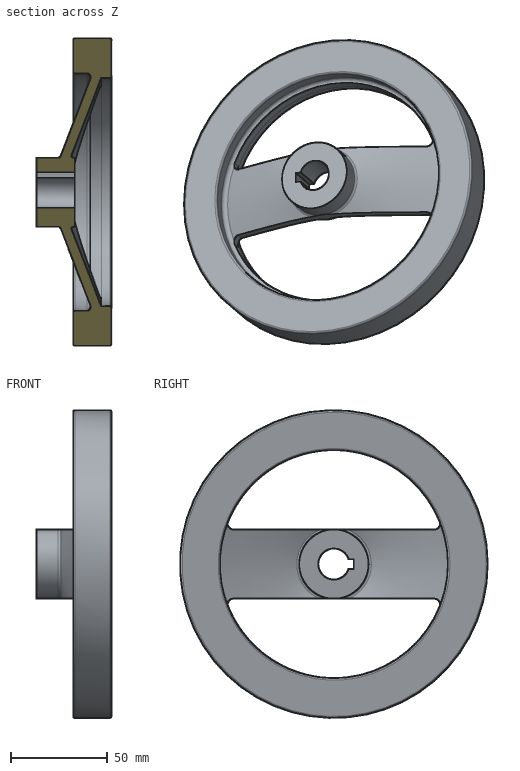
import cadquery as cq
import math


wheel_radius = 80.0
rim_front = 19.0
rim_back = 39.0
recess_radius = 123.28 / 2
rim_bore_radius = 118.4 / 2
rim_edge_fillet = 1.0
recess_root_fillet = 2.0

hub_radius = 18.0
hub_back = 20.0
front_hub_fillet = 1.5
back_hub_fillet = 1.0
bore_radius = 8.0

key_width = 5.0
key_reach = 10.3

web_start = 12.2
web_slope = math.tan(math.radians(21.0))
web_thickness = 5.6

spoke_half_width = hub_radius
window_corner_radius = 3.0


def web_front(radius):
    """X of the front face of the conical web at a given radius."""
    return web_start + web_slope * (radius - hub_radius)


def web_back(radius):
    """X of the back face of the conical web at a given radius."""
    return web_front(radius) + web_thickness


def round_circle(body, x, radius, fillet):
    """Fillet the full circular edge centred on the axis at the given X and radius."""
    tolerance = 0.01
    corner = cq.selectors.BoxSelector(
        (x - tolerance, -radius - 1, -radius - 1),
        (x + tolerance, radius + 1, radius + 1),
        boundingbox=True,
    )
    circle = body.edges(corner).edges("%CIRCLE").filter(
        lambda edge: abs(edge.radius() - radius) < tolerance
    )
    return body.newObject(circle.vals()).fillet(fillet)


def make_disc():
    """Hub, web and rim as one turned body, with its edges rounded."""
    disc = (
        cq.Workplane("XY")
        .moveTo(0, 0)
        .lineTo(0, hub_radius)
        .lineTo(web_front(hub_radius), hub_radius)
        .lineTo(web_front(recess_radius), recess_radius)
        .lineTo(rim_front, recess_radius)
        .lineTo(rim_front, wheel_radius)
        .lineTo(rim_back, wheel_radius)
        .lineTo(rim_back, rim_bore_radius)
        .lineTo(web_back(rim_bore_radius), rim_bore_radius)
        .lineTo(web_back(hub_radius), hub_radius)
        .lineTo(hub_back, hub_radius)
        .lineTo(hub_back, 0)
        .close()
        .revolve(360, (0, 0, 0), (1, 0, 0))
    )
    for x in (rim_front, rim_back):
        disc = round_circle(disc, x, wheel_radius, rim_edge_fillet)
    disc = round_circle(disc, rim_front, recess_radius, rim_edge_fillet)
    disc = round_circle(disc, web_front(recess_radius), recess_radius, recess_root_fillet)
    disc = round_circle(disc, web_front(hub_radius), hub_radius, front_hub_fillet)
    return round_circle(disc, web_back(hub_radius), hub_radius, back_hub_fillet)


def make_window(side):
    """Circular-segment opening above (side = 1) or below (side = -1) the spokes."""
    half_chord = math.sqrt(rim_bore_radius**2 - spoke_half_width**2)
    return (
        cq.Workplane("YZ")
        .moveTo(-half_chord, side * spoke_half_width)
        .threePointArc((0, side * rim_bore_radius), (half_chord, side * spoke_half_width))
        .close()
        .extrude(rim_back)
        .edges("|X")
        .fillet(window_corner_radius)
    )


def make_keyed_bore():
    """Through bore with its keyway."""
    bore = cq.Workplane("YZ").circle(bore_radius).extrude(rim_back)
    keyway = cq.Workplane("YZ").center(key_reach / 2, 0).rect(key_reach, key_width).extrude(rim_back)
    return bore.union(keyway)


result = make_disc()
for window_side in (1, -1):
    result = result.cut(make_window(window_side))
result = result.cut(make_keyed_bore())
result = round_circle(result.clean(), rim_back, rim_bore_radius, rim_edge_fillet)